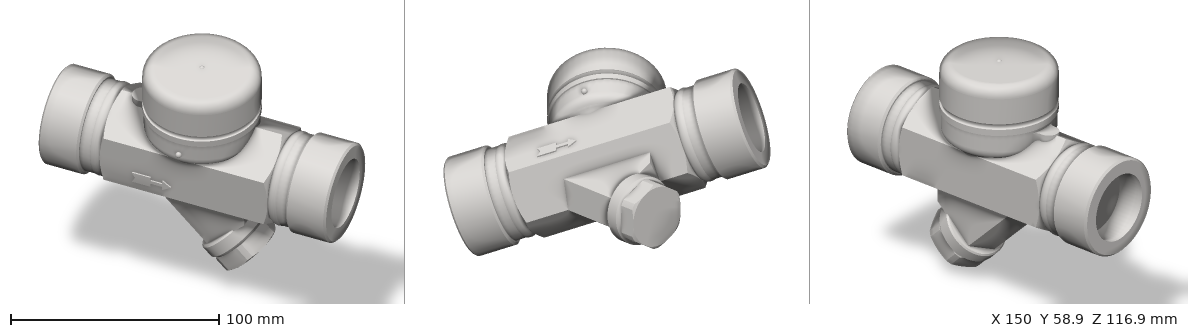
import cadquery as cq
import math

LENGTH = 150.0

END_DIA = 50.0
END_LENGTH = 21.0
END_CHAMFER = 1.0
NECK_DIA = 46.0
BEAD_LENGTH = 4.8
BEAD_RADIUS = 4.0
BEAD_END_DIA = 44.2
BORE_DIA = 34.5
BORE_DEPTH = 14.0

HEX_FLATS = 45.0
HEX_CORNERS = HEX_FLATS / math.cos(math.radians(30))
HEX_LENGTH = 87.6
HEX_CHAMFER_ANGLE = 30.0

LID_DIA = 57.5
LID_TOP = 54.3
LID_FLAT_DIA = 46.0
LID_ROUND = (LID_DIA - LID_FLAT_DIA) / 2
GROOVE_RADIUS = 1.5
GROOVE_Z = 33.5
RIM_BOTTOM = 28.6
BOWL_DIA = 56.0
BOWL_ROUND = 5.4
BOWL_ROUND_TOP = 19.6
BOWL_ROUND_ANGLE = 65.0
STEM_DIA = 44.8

MARK_DIA = 3.0
LID_MARK_HEIGHT = 0.6
BOWL_MARK_REACH = 2.1
BOWL_MARK_Z = 21.5

TAB_WIDTH = 10.2
TAB_REACH = 36.2
TAB_TOP = 26.8
TAB_BOTTOM = 19.5
TAB_ROOT_RADIUS = 3.0

ARROW_TAIL_X = -26.7
ARROW_TIP_X = -6.5
ARROW_NOTCH = 1.6
ARROW_SHAFT_X = -17.0
ARROW_HEAD_X = -10.8
ARROW_Z = -5.7
ARROW_HALF_WIDTH = 2.8
ARROW_SHAFT_HALF_WIDTH = 0.9
ARROW_HEIGHT = 0.8

BRANCH_ANGLE = 45.0
BRANCH_START_X = -25.0
BRANCH_FLATS = 26.0
BRANCH_CORNERS = BRANCH_FLATS / math.cos(math.radians(30))
BRANCH_END = 55.6
BRANCH_SIDE_X = 27.6

PLUG_SEAT = 54.8
FLANGE_DIA = 34.0
FLANGE_LENGTH = 8.5
FLANGE_SEAT_CHAMFER = 0.8
FLANGE_HEAD_CHAMFER = 1.6
PLUG_HEX_FLATS = 30.0
PLUG_HEX_CORNERS = PLUG_HEX_FLATS / math.cos(math.radians(30))
PLUG_HEX_TRIM_DIA = 33.0
PLUG_HEX_LENGTH = 8.8


def branch_plane(distance):
    """Plane square to the branch axis; local X runs to the upper right, local Y along +Y."""
    slope = math.radians(BRANCH_ANGLE)
    along = (math.cos(slope), 0, -math.sin(slope))
    across = (math.sin(slope), 0, math.cos(slope))
    origin = (BRANCH_START_X + distance * along[0], 0, distance * along[2])
    return cq.Plane(origin=origin, xDir=across, normal=along)


def make_pipe_end():
    """Turned end at -X, with a rounded bead where its neck meets the hexagonal middle."""
    outer_x = -LENGTH / 2
    shoulder_x = outer_x + END_LENGTH
    neck_end_x = -HEX_LENGTH / 2
    end_radius = END_DIA / 2
    neck_radius = NECK_DIA / 2
    return (
        cq.Workplane("XY")
        .moveTo(outer_x, 0)
        .lineTo(outer_x, end_radius - END_CHAMFER)
        .lineTo(outer_x + END_CHAMFER, end_radius)
        .lineTo(shoulder_x - END_CHAMFER, end_radius)
        .lineTo(shoulder_x, end_radius - END_CHAMFER)
        .lineTo(shoulder_x, neck_radius)
        .lineTo(neck_end_x - BEAD_LENGTH, neck_radius)
        .radiusArc((neck_end_x, BEAD_END_DIA / 2), BEAD_RADIUS)
        .lineTo(neck_end_x, 0)
        .close()
        .revolve(360, (0, 0, 0), (1, 0, 0))
    )


def make_hex_middle():
    """Hexagonal bar whose corners are turned down to a cone at both ends."""
    half = HEX_LENGTH / 2
    bar_plane = cq.Plane(origin=(0, 0, 0), xDir=(0, 0, 1), normal=(1, 0, 0))
    bar = cq.Workplane(bar_plane).polygon(6, HEX_CORNERS).extrude(half, both=True)
    corner_radius = HEX_CORNERS / 2
    end_radius = HEX_FLATS / 2
    setback = (corner_radius - end_radius) * math.tan(math.radians(HEX_CHAMFER_ANGLE))
    envelope = (
        cq.Workplane("XY")
        .moveTo(-half, 0)
        .lineTo(-half, end_radius)
        .lineTo(-half + setback, corner_radius)
        .lineTo(half - setback, corner_radius)
        .lineTo(half, end_radius)
        .lineTo(half, 0)
        .close()
        .revolve(360, (0, 0, 0), (1, 0, 0))
    )
    return bar.intersect(envelope)


def make_bonnet():
    """Stem, bowl, rim, grooved waist and rounded lid turned about Z."""
    lid_radius = LID_DIA / 2
    bowl_radius = BOWL_DIA / 2
    stem_radius = STEM_DIA / 2
    lid_bend = LID_ROUND * math.sin(math.radians(45))

    sweep = math.radians(BOWL_ROUND_ANGLE)
    round_centre_x = bowl_radius - BOWL_ROUND
    round_end_x = round_centre_x + BOWL_ROUND * math.cos(sweep)
    round_end_z = BOWL_ROUND_TOP - BOWL_ROUND * math.sin(sweep)
    round_mid_x = round_centre_x + BOWL_ROUND * math.cos(sweep / 2)
    round_mid_z = BOWL_ROUND_TOP - BOWL_ROUND * math.sin(sweep / 2)
    fillet = (round_end_x - stem_radius) / (1 - math.cos(sweep))
    fillet_centre_x = stem_radius + fillet
    fillet_end_z = round_end_z - fillet * math.sin(sweep)
    fillet_mid_x = fillet_centre_x - fillet * math.cos(sweep / 2)
    fillet_mid_z = fillet_end_z + fillet * math.sin(sweep / 2)
    return (
        cq.Workplane("XZ")
        .moveTo(0, fillet_end_z)
        .lineTo(stem_radius, fillet_end_z)
        .threePointArc((fillet_mid_x, fillet_mid_z), (round_end_x, round_end_z))
        .threePointArc((round_mid_x, round_mid_z), (bowl_radius, BOWL_ROUND_TOP))
        .lineTo(bowl_radius, RIM_BOTTOM)
        .lineTo(lid_radius, RIM_BOTTOM)
        .lineTo(lid_radius, GROOVE_Z - GROOVE_RADIUS)
        .threePointArc(
            (lid_radius - GROOVE_RADIUS, GROOVE_Z),
            (lid_radius, GROOVE_Z + GROOVE_RADIUS),
        )
        .lineTo(lid_radius, LID_TOP - LID_ROUND)
        .threePointArc(
            (lid_radius - LID_ROUND + lid_bend, LID_TOP - LID_ROUND + lid_bend),
            (lid_radius - LID_ROUND, LID_TOP),
        )
        .lineTo(0, LID_TOP)
        .close()
        .revolve(360, (0, 0, 0), (0, 1, 0))
    )


def make_marks():
    """Ball on the lid centre and ball on the -Y side of the bowl."""
    radius = MARK_DIA / 2
    lid_mark = cq.Workplane("XY").sphere(radius).translate((0, 0, LID_TOP + LID_MARK_HEIGHT - radius))
    bowl_mark_y = -(BOWL_DIA / 2 + BOWL_MARK_REACH - radius)
    bowl_mark = cq.Workplane("XY").sphere(radius).translate((0, bowl_mark_y, BOWL_MARK_Z))
    return lid_mark.union(bowl_mark)


def make_tab():
    """Round-ended tab on the -X side with concave roots where it meets the bowl."""
    half = TAB_WIDTH / 2
    centre_x = -(TAB_REACH - half)
    root_y = half + TAB_ROOT_RADIUS
    root_x = -math.sqrt((BOWL_DIA / 2 + TAB_ROOT_RADIUS) ** 2 - root_y ** 2)
    shrink = (BOWL_DIA / 2) / (BOWL_DIA / 2 + TAB_ROOT_RADIUS)
    touch_x = root_x * shrink
    touch_y = root_y * shrink
    start_angle = -math.pi / 2
    end_angle = math.atan2(touch_y - root_y, touch_x - root_x)
    mid_angle = (start_angle + end_angle) / 2
    mid_x = root_x + TAB_ROOT_RADIUS * math.cos(mid_angle)
    mid_y = root_y + TAB_ROOT_RADIUS * math.sin(mid_angle)
    return (
        cq.Workplane("XY", origin=(0, 0, TAB_BOTTOM))
        .moveTo(centre_x, -half)
        .threePointArc((-TAB_REACH, 0), (centre_x, half))
        .lineTo(root_x, half)
        .threePointArc((mid_x, mid_y), (touch_x, touch_y))
        .lineTo(0, touch_y)
        .lineTo(0, -touch_y)
        .lineTo(touch_x, -touch_y)
        .threePointArc((mid_x, -mid_y), (root_x, -half))
        .close()
        .extrude(TAB_TOP - TAB_BOTTOM)
    )


def make_arrow():
    """Raised flow arrow pointing toward +X."""
    upper = [
        (ARROW_TAIL_X, ARROW_HALF_WIDTH),
        (ARROW_SHAFT_X, ARROW_HALF_WIDTH),
        (ARROW_SHAFT_X, ARROW_SHAFT_HALF_WIDTH),
        (ARROW_HEAD_X, ARROW_SHAFT_HALF_WIDTH),
        (ARROW_HEAD_X, ARROW_HALF_WIDTH),
    ]
    lower = [(x, -z) for x, z in reversed(upper)]
    outline = [(ARROW_TAIL_X + ARROW_NOTCH, 0), *upper, (ARROW_TIP_X, 0), *lower]
    face = cq.Workplane("XZ", origin=(0, -HEX_FLATS / 2, ARROW_Z))
    return face.polyline(outline).close().extrude(ARROW_HEIGHT)


def make_branch():
    """Half-hexagonal keel below a flat-sided block, cut off square to X on its +X side."""
    half_width = BRANCH_FLATS / 2
    keel = BRANCH_CORNERS / 2
    block_height = HEX_CORNERS
    branch = (
        cq.Workplane(branch_plane(0))
        .polyline([
            (block_height, -half_width),
            (-keel / 2, -half_width),
            (-keel, 0),
            (-keel / 2, half_width),
            (block_height, half_width),
        ])
        .close()
        .extrude(BRANCH_END)
    )
    keep_length = BRANCH_SIDE_X + LENGTH / 2
    envelope = (
        cq.Workplane("YZ", origin=(-LENGTH / 2, 0, -LENGTH / 2))
        .rect(HEX_FLATS, LENGTH)
        .extrude(keep_length)
    )
    return branch.intersect(envelope)


def make_body():
    pipe_end = make_pipe_end()
    body = make_hex_middle().union(pipe_end).union(pipe_end.mirror("YZ"))
    body = body.union(make_branch()).union(make_bonnet())
    body = body.union(make_tab()).union(make_marks()).union(make_arrow())
    bore = cq.Workplane("YZ", origin=(-LENGTH / 2, 0, 0)).circle(BORE_DIA / 2).extrude(BORE_DEPTH)
    plug_recess = cq.Workplane(branch_plane(PLUG_SEAT)).circle(FLANGE_DIA / 2).extrude(FLANGE_LENGTH)
    return body.cut(bore).cut(bore.mirror("YZ")).cut(plug_recess)


def make_plug():
    """Chamfered flange with a hexagonal head whose corners and end are turned down."""
    flange_radius = FLANGE_DIA / 2
    trim_radius = PLUG_HEX_TRIM_DIA / 2
    flat_radius = PLUG_HEX_FLATS / 2
    head_end = FLANGE_LENGTH + PLUG_HEX_LENGTH
    setback = (trim_radius - flat_radius) * math.tan(math.radians(HEX_CHAMFER_ANGLE))

    flange_profile = [
        (0, 0),
        (flange_radius - FLANGE_SEAT_CHAMFER, 0),
        (flange_radius, FLANGE_SEAT_CHAMFER),
        (flange_radius, FLANGE_LENGTH - FLANGE_HEAD_CHAMFER),
        (flange_radius - FLANGE_HEAD_CHAMFER, FLANGE_LENGTH),
        (0, FLANGE_LENGTH),
    ]
    head_profile = [
        (0, FLANGE_LENGTH),
        (trim_radius, FLANGE_LENGTH),
        (trim_radius, head_end - setback),
        (flat_radius, head_end),
        (0, head_end),
    ]
    seat = branch_plane(PLUG_SEAT)
    side_plane = cq.Plane(origin=seat.origin, xDir=seat.xDir, normal=seat.yDir * -1)
    axis_start = (0, 0, 0)
    axis_end = (0, 1, 0)
    flange = cq.Workplane(side_plane).polyline(flange_profile).close().revolve(360, axis_start, axis_end)
    envelope = cq.Workplane(side_plane).polyline(head_profile).close().revolve(360, axis_start, axis_end)
    head_plane = branch_plane(PLUG_SEAT + FLANGE_LENGTH)
    head = cq.Workplane(head_plane).polygon(6, PLUG_HEX_CORNERS).extrude(PLUG_HEX_LENGTH)
    return flange.union(head.intersect(envelope))


body = make_body()
plug = make_plug()
result = cq.Compound.makeCompound([body.val(), plug.val()])